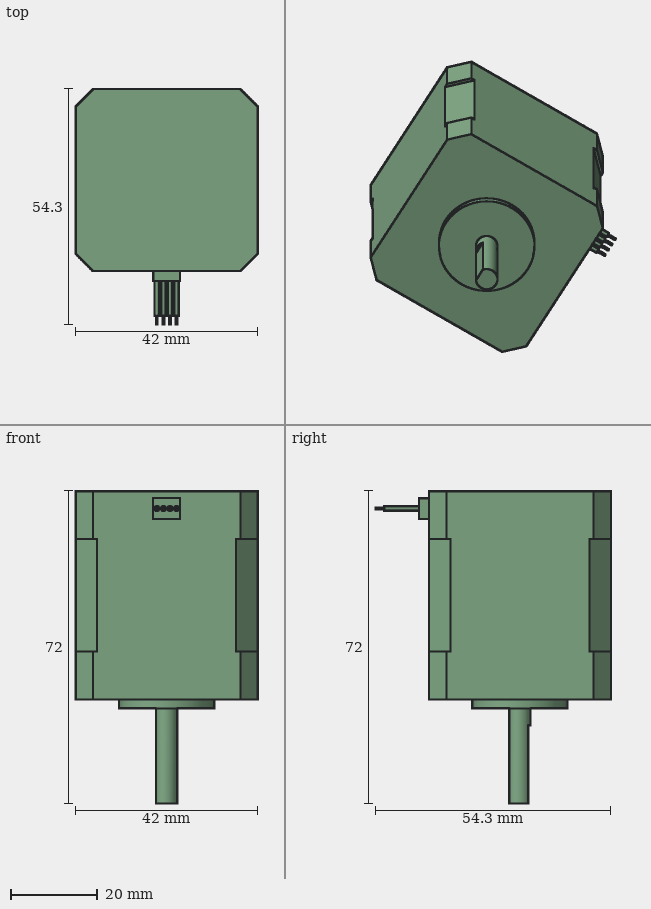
import cadquery as cq

body_width = 42.0
total_height = 72.0
end_cap_height = 11.0
cap_corner_chamfer = 4.0
core_corner_chamfer = 5.0

flange_diameter = 22.0
flange_height = 2.0
shaft_diameter = 5.0
shaft_length = 21.95
flat_length = 18.0
flat_depth = 0.5

connector_width = 6.2
connector_height = 4.8
connector_depth = 2.3
connector_drop = 4.0
lead_count = 4
lead_pitch = 1.5
lead_diameter = 1.1
lead_length = 8.0
tip_diameter = 0.4
tip_length = 2.0

body_height = total_height - flange_height - shaft_length
core_height = body_height - 2 * end_cap_height
shaft_end_z = -flange_height - shaft_length
connector_z = body_height - connector_drop
connector_face_y = -body_width / 2 - connector_depth


def chamfered_block(bottom_z, height, chamfer):
    """Square block with its four vertical corners cut off."""
    block = cq.Workplane("XY", origin=(0, 0, bottom_z)).rect(body_width, body_width).extrude(height)
    return block.edges("|Z").chamfer(chamfer)


def motor_body():
    """Two end caps around a core with larger corner chamfers."""
    lower_cap = chamfered_block(0, end_cap_height, cap_corner_chamfer)
    core = chamfered_block(end_cap_height, core_height, core_corner_chamfer)
    upper_cap = chamfered_block(body_height - end_cap_height, end_cap_height, cap_corner_chamfer)
    return lower_cap.union(core).union(upper_cap)


def flange_and_shaft():
    """Pilot flange and a shaft with a flat on its +Y side."""
    flange = cq.Workplane("XY").circle(flange_diameter / 2).extrude(-flange_height)
    shaft = cq.Workplane("XY").circle(shaft_diameter / 2).extrude(shaft_end_z)
    flat_y = shaft_diameter / 2 - flat_depth
    flat_cutter = cq.Workplane("XY", origin=(0, flat_y, shaft_end_z)).box(
        shaft_diameter, shaft_diameter, flat_length, centered=(True, False, False)
    )
    return flange.union(shaft.cut(flat_cutter))


def connector():
    """Rectangular connector block standing out from the -Y face."""
    face = cq.Workplane("XZ", origin=(0, -body_width / 2, connector_z))
    return face.rect(connector_width, connector_height).extrude(connector_depth)


def lead(x):
    """Insulated lead pointing along -Y with a thin bare tip."""
    start = cq.Workplane("XZ", origin=(x, connector_face_y, connector_z))
    insulation = start.circle(lead_diameter / 2).extrude(lead_length)
    tip = start.circle(tip_diameter / 2).extrude(lead_length + tip_length)
    return insulation.union(tip)


result = motor_body().union(flange_and_shaft()).union(connector())
for index in range(lead_count):
    lead_x = (index - (lead_count - 1) / 2) * lead_pitch
    result = result.union(lead(lead_x))